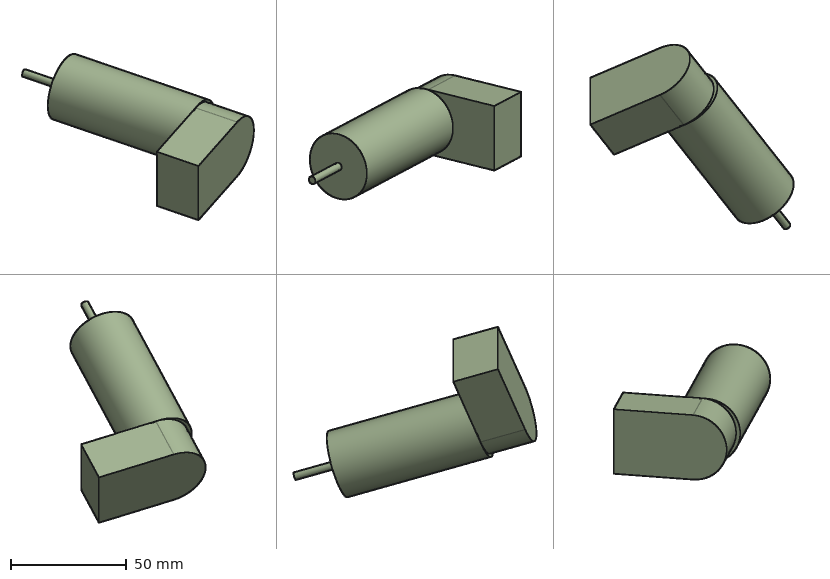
import cadquery as cq

total_length = 106.3
total_width = 51.7
body_diameter = 30.0
shaft_length = 20.0
shaft_diameter = 3.5
housing_length = 20.5
housing_offset = 1.8

body_radius = body_diameter / 2
body_length = total_length - shaft_length - housing_length
housing_start = shaft_length + body_length
housing_centre_y = -housing_offset
housing_front_y = body_radius - total_width


def cylinder_along_x(start, length, diameter):
    return cq.Workplane("YZ", origin=(start, 0, 0)).circle(diameter / 2).extrude(length)


def end_housing():
    """Block with a half-round +Y end, as tall as the body."""
    return (
        cq.Workplane("YZ", origin=(housing_start, 0, 0))
        .moveTo(housing_front_y, -body_radius)
        .lineTo(housing_centre_y, -body_radius)
        .threePointArc((housing_centre_y + body_radius, 0), (housing_centre_y, body_radius))
        .lineTo(housing_front_y, body_radius)
        .close()
        .extrude(housing_length)
    )


shaft = cylinder_along_x(0, shaft_length, shaft_diameter)
body = cylinder_along_x(shaft_length, body_length, body_diameter)

result = shaft.union(body).union(end_housing())